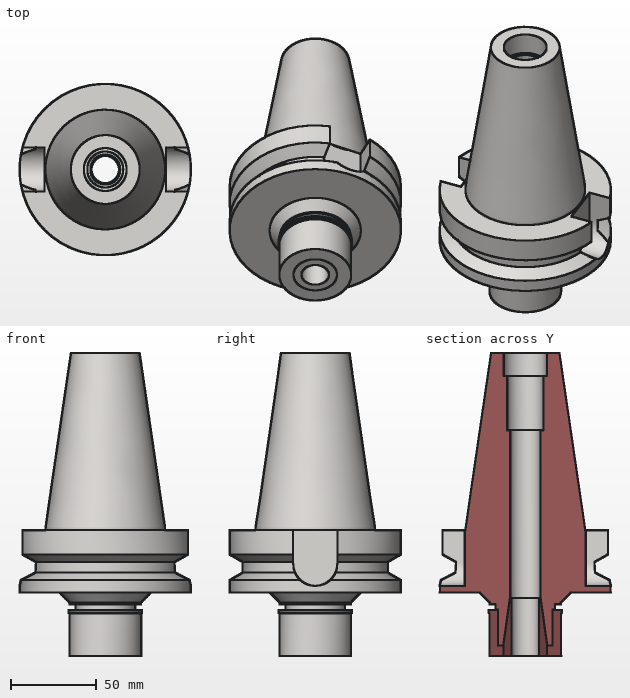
import cadquery as cq
import math


gauge_dia = 69.85
taper_length = 101.8
taper_ratio = 7 / 24
taper_end_dia = gauge_dia - taper_length * taper_ratio

flange_dia = 100.0
flange_top_z = -1.5
flange_bottom_z = -38.0
groove_center_z = -23.2
groove_root_dia = 85.0
groove_root_half_width = 3.1
groove_flank_angle = 30.0
groove_flank_height = (flange_dia - groove_root_dia) / 2 * math.tan(math.radians(groove_flank_angle))
groove_mouth_half_width = groove_root_half_width + groove_flank_height

slot_width = 25.7
slot_floor_x = 35.4
slot_bottom_z = -34.0
slot_radius = slot_width / 2

hub_top_dia = 53.25
hub_cone_height = 5.8
hub_bottom_dia = hub_top_dia - 2 * hub_cone_height
hub_cone_end_z = flange_bottom_z - hub_cone_height
hub_rim_height = 1.0
hub_bottom_z = hub_cone_end_z - hub_rim_height
neck_dia = 35.0
thread_dia = 32.0

nut_dia = 42.0
nut_collar_dia = 43.0
nut_collar_height = 1.6
nut_collar_chamfer = (nut_collar_dia - nut_dia) / 2
nut_top_z = -48.0
nut_bottom_z = -75.0
nut_lip_height = 6.0
nose_end_z = nut_bottom_z + nut_lip_height

pilot_dia = 25.0
pilot_depth = 13.4
drawbar_thread_dia = 21.0
drawbar_thread_depth = 45.0

collet_bore_dia = 16.0
collet_rear_dia = 17.5
collet_length = 34.0
collet_half_angle = 8.0
collet_rear_z = nut_bottom_z + collet_length
seat_length = collet_rear_z - nose_end_z
collet_front_dia = collet_rear_dia + 2 * seat_length * math.tan(math.radians(collet_half_angle))


def revolve_profile(diameter_height_pairs):
    """Revolve a closed outline of (diameter, z) corners about the Z axis."""
    corners = [(diameter / 2, z) for diameter, z in diameter_height_pairs]
    return cq.Workplane("XZ").polyline(corners).close().revolve(360, (0, 0), (0, 1))


def make_drive_slot(side):
    """Cutter for the drive slot on the +X (side = 1) or -X (side = -1) edge of the flange."""
    slot_depth = flange_dia / 2 - slot_floor_x
    arc_center_z = slot_bottom_z + slot_radius
    return (
        cq.Workplane("YZ", origin=(side * slot_floor_x, 0, 0))
        .moveTo(-slot_radius, flange_top_z)
        .lineTo(-slot_radius, arc_center_z)
        .threePointArc((0, slot_bottom_z), (slot_radius, arc_center_z))
        .lineTo(slot_radius, flange_top_z)
        .close()
        .extrude(side * slot_depth)
    )


def make_holder():
    """Taper, flange and threaded nose, with the stepped bore and collet seat."""
    body = revolve_profile([
        (pilot_dia, taper_length),
        (pilot_dia, taper_length - pilot_depth),
        (drawbar_thread_dia, taper_length - pilot_depth),
        (drawbar_thread_dia, taper_length - drawbar_thread_depth),
        (collet_rear_dia, taper_length - drawbar_thread_depth),
        (collet_rear_dia, collet_rear_z),
        (collet_front_dia, nose_end_z),
        (thread_dia, nose_end_z),
        (thread_dia, nut_top_z),
        (neck_dia, nut_top_z),
        (neck_dia, hub_bottom_z),
        (hub_bottom_dia, hub_bottom_z),
        (hub_bottom_dia, hub_cone_end_z),
        (hub_top_dia, flange_bottom_z),
        (flange_dia, flange_bottom_z),
        (flange_dia, groove_center_z - groove_mouth_half_width),
        (groove_root_dia, groove_center_z - groove_root_half_width),
        (groove_root_dia, groove_center_z + groove_root_half_width),
        (flange_dia, groove_center_z + groove_mouth_half_width),
        (flange_dia, flange_top_z),
        (gauge_dia, flange_top_z),
        (gauge_dia, 0),
        (taper_end_dia, taper_length),
    ])
    for side in (-1, 1):
        body = body.cut(make_drive_slot(side))
    return body


def make_nut():
    """Nut around the threaded nose, with a lip around the collet front."""
    collar_bottom_z = nut_top_z - nut_collar_height
    return revolve_profile([
        (thread_dia, nut_top_z),
        (nut_collar_dia, nut_top_z),
        (nut_collar_dia, collar_bottom_z),
        (nut_dia, collar_bottom_z - nut_collar_chamfer),
        (nut_dia, nut_bottom_z),
        (collet_front_dia, nut_bottom_z),
        (collet_front_dia, nose_end_z),
        (thread_dia, nose_end_z),
    ])


def make_collet():
    """Tapered collet filling the seat, flush with the nut face."""
    return revolve_profile([
        (collet_bore_dia, collet_rear_z),
        (collet_rear_dia, collet_rear_z),
        (collet_front_dia, nose_end_z),
        (collet_front_dia, nut_bottom_z),
        (collet_bore_dia, nut_bottom_z),
    ])


holder = make_holder()
nut = make_nut()
collet = make_collet()

result = cq.Compound.makeCompound([holder.val(), nut.val(), collet.val()])